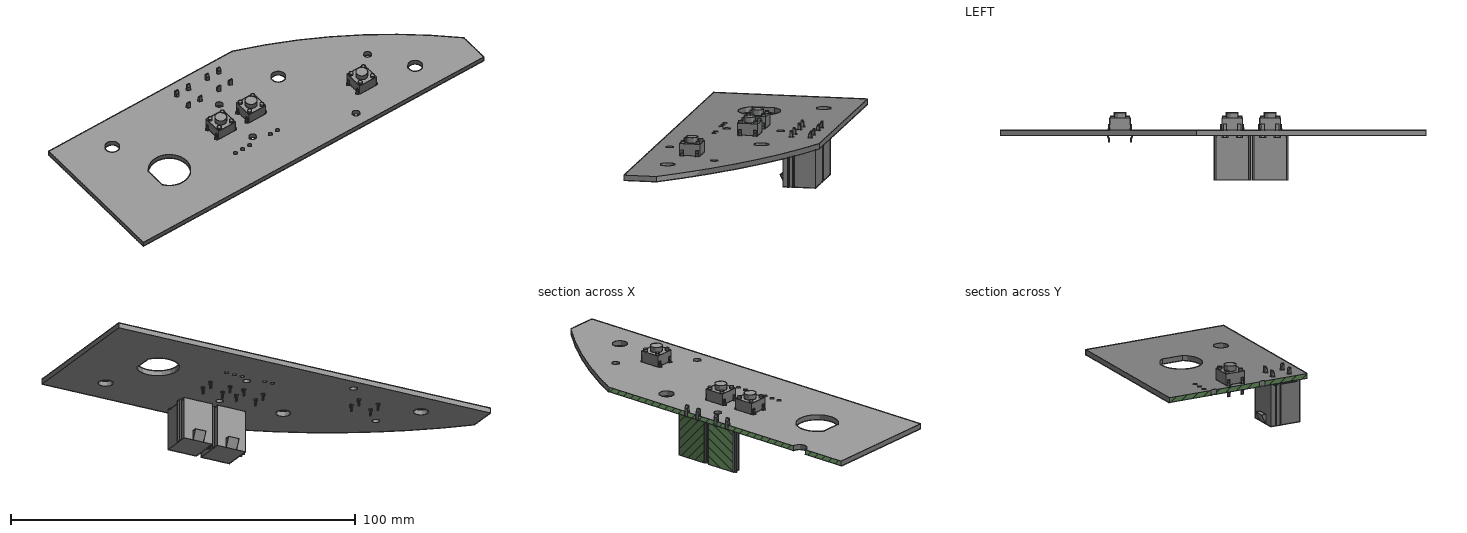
import cadquery as cq

BOARD_LENGTH = 123.5
BOARD_WIDTH = 45.7
BOARD_THICKNESS = 1.6
STRAIGHT_SIDE_LENGTH = 66.6
TOP_EDGE_LEFT = 36.1
CURVED_EDGE_SAGITTA = 3.6

MOUNTING_HOLE_DIAMETER = 4.3
MOUNTING_HOLE_CENTERS = [(36.5, 105.5), (16.2, 71.1), (9.6, 15.8)]
LOCATING_HOLE_DIAMETER = 2.2
LOCATING_HOLE_OFFSET = 8.0
DIAGONAL_HOLE_OFFSET = 8.4
WIRE_HOLE_DIAMETER = 1.19
WIRE_HOLE_PITCH = 2.6
WIRE_HOLE_X = 33.1
WIRE_PAIR_Y = 56.8
WIRE_TRIO_Y = 45.5
ROUND_OPENING_DIAMETER = 12.4
ROUND_OPENING_CENTER = (27.0, 23.5)
ROUND_OPENING_FLAT_DROP = 5.2

SWITCH_PAIR_X = 22.8
SWITCH_PAIR_Y = 50.8
SWITCH_PAIR_SPACING = 11.0
SINGLE_SWITCH_CENTER = (33.0, 88.8)
SWITCH_SIDE = 6.0
SWITCH_HEIGHT = 3.5
PEG_DIAMETER = 1.19
PEG_HEIGHT = 0.6
PEG_OFFSET = 2.2
BUTTON_DIAMETER = 3.5
BUTTON_TOP = 5.1

LEG_HOLE_DIAMETER = 1.19
LEG_OFFSET_X = 2.2
LEG_HOLE_OFFSET_Y = 3.2
LEG_WIDTH = 0.7
LEG_THICKNESS = 0.31
LEG_BOW = 0.31
LEG_TOP = 1.6
LEG_BOW_START = 0.7
LEG_BOW_END = 0.2
LEG_TIP_START = 0.9
LEG_TIP = 1.9

CONNECTOR_CENTERS_Y = [SWITCH_PAIR_Y + sign * SWITCH_PAIR_SPACING / 2 for sign in (-1, 1)]
HOUSING_LEFT = 2.3
HOUSING_LENGTH = 9.6
HOUSING_WIDTH = 9.4
HOUSING_HEIGHT = 12.8
RIB_WIDTH = 0.43
RIB_DEPTH = 0.55
RIB_CENTERS_X = [8.8, 10.3]
CHANNEL_DEPTH = 0.5
CHANNEL_WIDTH = 1.9
SIDE_NOTCH_HEIGHT = 0.4
SIDE_NOTCH_DEPTH = 0.5
SIDE_NOTCH_SPANS = [(3.3, 8.5), (9.6, 10.9)]
LATCH_TOP = 9.9
LATCH_REACH = 1.5
LATCH_WIDTH = 3.5

PIN_COLUMNS_X = [4.5, 10.0]
PIN_PITCH_Y = 4.2
PIN_LENGTH_X = 0.7
PIN_WIDTH_Y = 1.0
PIN_HEIGHT = 1.7
PIN_SLANT_DROP = 0.7
PIN_TIP_LENGTH = 0.4
PIN_HOLE_DIAMETER = 1.4

SWITCH_CENTERS = [(SWITCH_PAIR_X, y) for y in CONNECTOR_CENTERS_Y] + [SINGLE_SWITCH_CENTER]


def leg_positions(center):
    """The four leg-hole centers of a switch."""
    x, y = center
    return [
        (x + side * LEG_OFFSET_X, y + end * LEG_HOLE_OFFSET_Y)
        for side in (-1, 1)
        for end in (-1, 1)
    ]


def pin_rows(center_y):
    """The Y positions of a connector's two pin rows."""
    return [center_y + end * PIN_PITCH_Y / 2 for end in (-1, 1)]


def box_between(x_min, x_max, y_min, y_max, z_min, z_max):
    """A box given by its limits along each axis."""
    size = (x_max - x_min, y_max - y_min, z_max - z_min)
    return cq.Workplane("XY").box(*size, centered=False).translate((x_min, y_min, z_min))


def drill(board, centers, diameter):
    """Cut round holes through the board."""
    holes = cq.Workplane("XY").pushPoints(centers).circle(diameter / 2).extrude(BOARD_THICKNESS)
    return board.cut(holes)


def make_round_opening():
    """The large round opening with a flat on its -Y side."""
    x, y = ROUND_OPENING_CENTER
    radius = ROUND_OPENING_DIAMETER / 2
    disc = cq.Workplane("XY").center(x, y).circle(radius).extrude(BOARD_THICKNESS)
    flat_y = y - ROUND_OPENING_FLAT_DROP
    kept = box_between(x - radius, x + radius, flat_y, y + radius, 0, BOARD_THICKNESS)
    return disc.intersect(kept)


def make_board():
    """The circuit board with its curved edge and all its holes."""
    board = (
        cq.Workplane("XY")
        .lineTo(BOARD_WIDTH, 0)
        .lineTo(BOARD_WIDTH, BOARD_LENGTH)
        .lineTo(TOP_EDGE_LEFT, BOARD_LENGTH)
        .sagittaArc((0, STRAIGHT_SIDE_LENGTH), -CURVED_EDGE_SAGITTA)
        .close()
        .extrude(BOARD_THICKNESS)
    )
    board = board.cut(make_round_opening())
    board = drill(board, MOUNTING_HOLE_CENTERS, MOUNTING_HOLE_DIAMETER)

    single_x, single_y = SINGLE_SWITCH_CENTER
    locating_holes = [
        (SWITCH_PAIR_X - LOCATING_HOLE_OFFSET, SWITCH_PAIR_Y),
        (SWITCH_PAIR_X + LOCATING_HOLE_OFFSET, SWITCH_PAIR_Y),
        (single_x - DIAGONAL_HOLE_OFFSET, single_y + DIAGONAL_HOLE_OFFSET),
        (single_x + DIAGONAL_HOLE_OFFSET, single_y - DIAGONAL_HOLE_OFFSET),
    ]
    board = drill(board, locating_holes, LOCATING_HOLE_DIAMETER)

    wire_pair = [(WIRE_HOLE_X, WIRE_PAIR_Y + step * WIRE_HOLE_PITCH) for step in (-0.5, 0.5)]
    wire_trio = [(WIRE_HOLE_X, WIRE_TRIO_Y + step * WIRE_HOLE_PITCH) for step in (-1, 0, 1)]
    board = drill(board, wire_pair + wire_trio, WIRE_HOLE_DIAMETER)

    for center in SWITCH_CENTERS:
        board = drill(board, leg_positions(center), LEG_HOLE_DIAMETER)
    for center_y in CONNECTOR_CENTERS_Y:
        pin_holes = [(x, y) for x in PIN_COLUMNS_X for y in pin_rows(center_y)]
        board = drill(board, pin_holes, PIN_HOLE_DIAMETER)
    return board


def make_leg():
    """A bent leg at the +Y wall of a switch centered on the Z axis, centered in X."""
    wall = SWITCH_SIDE / 2
    path = [
        (wall, BOARD_THICKNESS + LEG_TOP),
        (wall, BOARD_THICKNESS + LEG_BOW_START),
        (wall + LEG_BOW, 0),
        (wall + LEG_BOW, -LEG_BOW_END),
        (wall, -LEG_TIP_START),
        (wall, -LEG_TIP),
    ]
    outer_path = [(y + LEG_THICKNESS, z) for y, z in reversed(path)]
    profile = cq.Workplane("YZ").polyline(path + outer_path).close()
    return profile.extrude(LEG_WIDTH / 2, both=True)


def make_switch(center):
    """A square switch body with four corner pegs and four legs."""
    top = BOARD_THICKNESS + SWITCH_HEIGHT
    half = SWITCH_SIDE / 2
    switch = box_between(-half, half, -half, half, BOARD_THICKNESS, top)
    pegs = (
        cq.Workplane("XY", origin=(0, 0, top))
        .rect(2 * PEG_OFFSET, 2 * PEG_OFFSET, forConstruction=True)
        .vertices()
        .circle(PEG_DIAMETER / 2)
        .extrude(PEG_HEIGHT)
    )
    switch = switch.union(pegs)
    for side in (-1, 1):
        leg = make_leg().translate((side * LEG_OFFSET_X, 0, 0))
        switch = switch.union(leg).union(leg.mirror("XZ"))
    return switch.translate((*center, 0))


def make_button(center):
    """The round button standing on a switch body."""
    base = BOARD_THICKNESS + SWITCH_HEIGHT
    return (
        cq.Workplane("XY", origin=(*center, base))
        .circle(BUTTON_DIAMETER / 2)
        .extrude(BUTTON_TOP - SWITCH_HEIGHT)
    )


def make_pin(x, y, tall_side):
    """A connector pin with a slanted tip, tallest on its -X (-1) or +X (1) side."""
    tall_x = x + tall_side * PIN_LENGTH_X / 2
    low_x = x - tall_side * PIN_LENGTH_X / 2
    top = BOARD_THICKNESS + PIN_HEIGHT
    profile = [
        (tall_x, -CHANNEL_DEPTH),
        (tall_x, top),
        (tall_x - tall_side * PIN_TIP_LENGTH, top),
        (low_x, top - PIN_SLANT_DROP),
        (low_x, -CHANNEL_DEPTH),
    ]
    pin = cq.Workplane("XZ").polyline(profile).close().extrude(PIN_WIDTH_Y / 2, both=True)
    return pin.translate((0, y, 0))


def make_latch(center_y):
    """The wedge on the housing's +X wall, widest at its top."""
    wall = HOUSING_LEFT + HOUSING_LENGTH
    wedge = (
        cq.Workplane("XZ")
        .polyline([(wall, -LATCH_TOP), (wall + LATCH_REACH, -LATCH_TOP), (wall, -HOUSING_HEIGHT)])
        .close()
        .extrude(LATCH_WIDTH / 2, both=True)
    )
    return wedge.translate((0, center_y, 0))


def make_connector(center_y):
    """A connector housing with side ribs, top notches and channels, a latch and four pins."""
    right = HOUSING_LEFT + HOUSING_LENGTH
    half = HOUSING_WIDTH / 2
    connector = box_between(
        HOUSING_LEFT, right, center_y - half, center_y + half, -HOUSING_HEIGHT, 0
    )

    core_half = half - SIDE_NOTCH_DEPTH
    for start, end in SIDE_NOTCH_SPANS:
        for wall, edge in ((core_half, half), (-half, -core_half)):
            notch = box_between(start, end, center_y + wall, center_y + edge, -SIDE_NOTCH_HEIGHT, 0)
            connector = connector.cut(notch)

    channel_end = sum(PIN_COLUMNS_X) / len(PIN_COLUMNS_X)
    for y in pin_rows(center_y):
        y_min = y - CHANNEL_WIDTH / 2
        y_max = y + CHANNEL_WIDTH / 2
        channel = box_between(HOUSING_LEFT, channel_end, y_min, y_max, -CHANNEL_DEPTH, 0)
        connector = connector.cut(channel)

    rib_half = half + RIB_DEPTH
    for x in RIB_CENTERS_X:
        x_min = x - RIB_WIDTH / 2
        x_max = x + RIB_WIDTH / 2
        for wall, edge in ((half, rib_half), (-rib_half, -half)):
            rib = box_between(x_min, x_max, center_y + wall, center_y + edge, -HOUSING_HEIGHT, 0)
            connector = connector.union(rib)

    connector = connector.union(make_latch(center_y))
    for x, tall_side in zip(PIN_COLUMNS_X, (-1, 1)):
        for y in pin_rows(center_y):
            connector = connector.union(make_pin(x, y, tall_side))
    return connector


board = make_board()
switches = [make_switch(center).val() for center in SWITCH_CENTERS]
buttons = [make_button(center).val() for center in SWITCH_CENTERS]
connectors = [make_connector(center_y).val() for center_y in CONNECTOR_CENTERS_Y]

result = cq.Compound.makeCompound([board.val(), *switches, *buttons, *connectors])